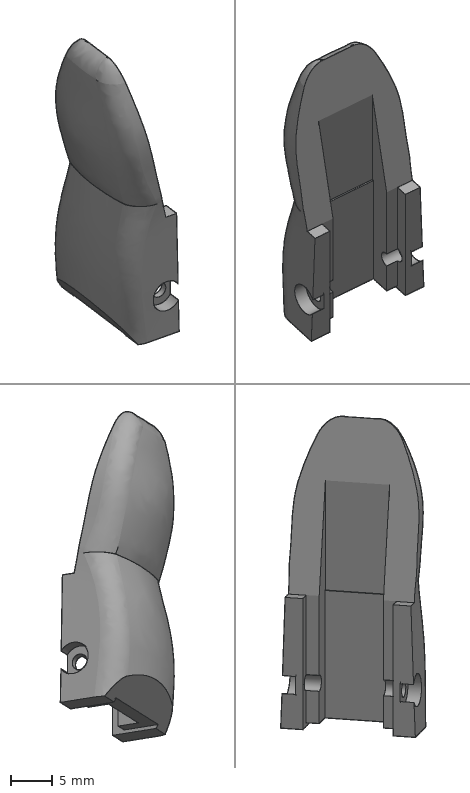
import cadquery as cq

height = 38.12
side_width = 15.95
base_width = 16.95
flare_top = 14.45
waist_z = 18.9
crown_z = 27.45
nose_z = 35.85

shoulder_z = 16.55
shoulder_y = -1.6
tip_y = -6.25

bevel_top_z = 4.1
bevel_top_y = -8.75
bevel_foot_y = -5.9

slot_width = 11.35
pocket_width = 8.1
pocket_floor_y = -4.35
upper_floor_y = -4.57
foot_recess = 0.45

pivot_y = -1.68
pivot_z = 5.53
pivot_diameter = 2.0
counterbore_diameter = 4.05
counterbore_depth = 1.9

oversize = 2 * height

half_side = side_width / 2
half_base = base_width / 2

lower_sections = [
    (0.0, half_base, -4.7, 6.0, -7.7, -8.58),
    (3.8, half_base - 0.15, -5.07, 5.95, -8.05, -8.75),
    (7.93, half_base - 0.25, -5.35, 5.85, -8.2, -8.85),
    (flare_top, half_side, -4.55, 5.65, -7.28, -8.1),
    (waist_z, half_side, -2.95, 5.55, -6.25, -6.82),
]
upper_sections = [
    (waist_z, half_side, -2.95, 5.87, -6.25, -6.82),
    (22.1, half_side, -4.27, 5.9, -7.15, -8.0),
    (25.15, half_side, -5.22, 5.9, -7.85, -8.85),
    (crown_z, half_side - 0.08, -5.65, 5.65, -8.25, -9.15),
    (31.65, 7.0, -6.02, 4.57, -8.45, -8.85),
    (33.93, 6.18, -6.0, 3.62, -8.42, -8.65),
    (nose_z, 5.35, -5.85, 2.5, -8.3, -8.42),
]
nose_sections = [
    upper_sections[-1],
    (37.15, 4.4, -6.0, 2.3, -7.62, -7.75),
    (37.85, 3.43, -6.1, 2.15, -6.85, -6.95),
    (height, 2.6, -6.15, 2.02, -6.25, -6.3),
]


def section_wire(z, half_width, corner_y, face_half_width, face_y, crown_y):
    """Flat rear, straight sides, rounded front corners and a crowned front."""
    run = half_width - face_half_width
    drop = corner_y - face_y
    radius = (run**2 + drop**2) / (2 * run)
    chord = (run**2 + drop**2) ** 0.5
    sagitta = radius - (radius**2 - (chord / 2) ** 2) ** 0.5
    middle_x = (half_width + face_half_width) / 2 + sagitta * drop / chord
    middle_y = (corner_y + face_y) / 2 - sagitta * run / chord
    outline = (
        cq.Workplane("XY", origin=(0, 0, z))
        .moveTo(-half_width, 0)
        .lineTo(-half_width, corner_y)
        .threePointArc((-middle_x, middle_y), (-face_half_width, face_y))
        .threePointArc((0, crown_y), (face_half_width, face_y))
        .threePointArc((middle_x, middle_y), (half_width, corner_y))
        .lineTo(half_width, 0)
        .close()
    )
    return outline.val()


def cushion(sections):
    wires = [section_wire(*section) for section in sections]
    return cq.Workplane(cq.Solid.makeLoft(wires))


def side_profile():
    """Rear step, sloping back and front bevel, seen along X."""
    front_y = -height
    bevel_slope = bevel_top_z / (bevel_top_y - bevel_foot_y)
    front_z = bevel_slope * (front_y - bevel_foot_y)
    return (
        cq.Workplane("YZ")
        .polyline([
            (0, 0),
            (0, shoulder_z),
            (shoulder_y, shoulder_z),
            (tip_y, height),
            (front_y, height),
            (front_y, front_z),
            (bevel_foot_y, 0),
        ])
        .close()
        .extrude(base_width, both=True)
    )


def rear_block(width, floor_y, bottom, top):
    """Block from the rear plane in to floor_y, used to cut the channel."""
    return cq.Workplane("XY", origin=(0, floor_y / 2, bottom)).box(
        width, -floor_y, top - bottom, centered=(True, True, False)
    )


def pivot_cutter():
    cutter = (
        cq.Workplane("YZ")
        .center(pivot_y, pivot_z)
        .circle(pivot_diameter / 2)
        .extrude(base_width, both=True)
    )
    half_inner = half_base - counterbore_depth
    for side in (-1, 1):
        bore = (
            cq.Workplane("YZ", origin=(side * half_inner, 0, 0))
            .center(pivot_y, pivot_z)
            .circle(counterbore_diameter / 2)
            .extrude(side * base_width)
        )
        cutter = cutter.union(bore)
    return cutter


body = cushion(lower_sections).union(cushion(upper_sections)).union(cushion(nose_sections))
body = body.intersect(side_profile())
body = body.cut(rear_block(slot_width, shoulder_y, 0, shoulder_z))
body = body.cut(rear_block(pocket_width, pocket_floor_y, 0, height))
body = body.cut(rear_block(pocket_width, upper_floor_y, shoulder_z, height))
body = body.cut(cq.Workplane("XY").box(slot_width, oversize, 2 * foot_recess))
result = body.cut(pivot_cutter())